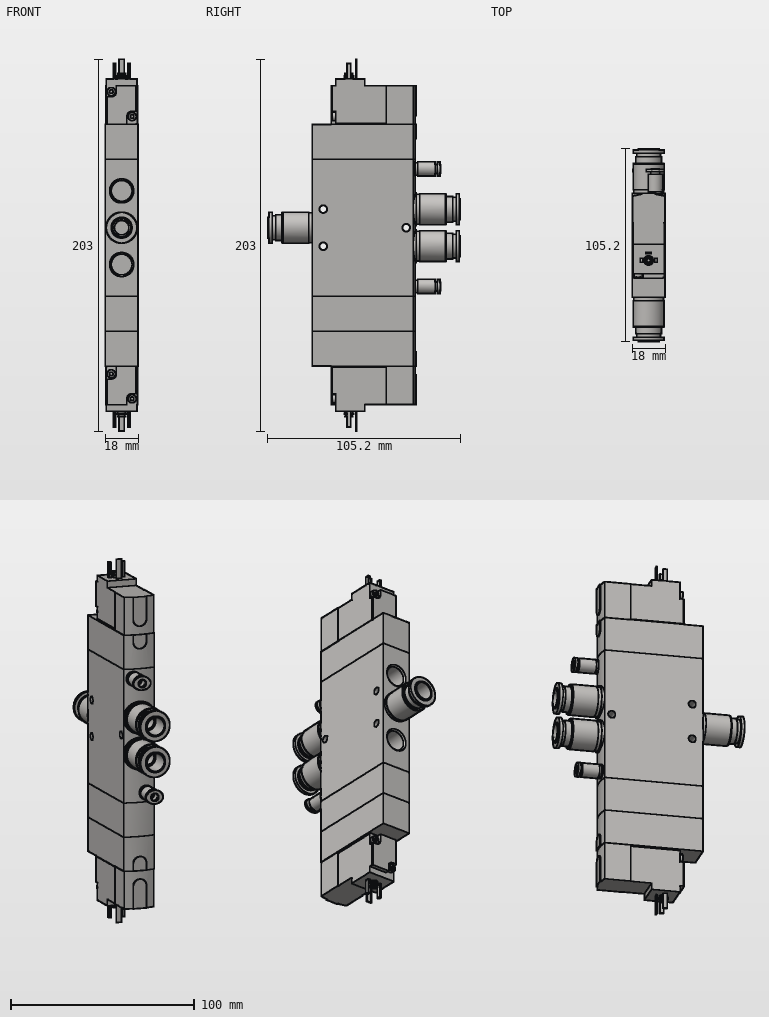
import cadquery as cq
import math

WIDTH = 18.0
SIDE_DEPTH = 55.2
CROWN_DEPTH = 56.5
SEAT_DEPTH = 56.8
SECTION_HEIGHT = 19.0
BAR_HALF = 66.0
VALVE_TOP = BAR_HALF - SECTION_HEIGHT
VALVE_BOTTOM = -BAR_HALF + 2 * SECTION_HEIGHT
VALVE_MID = (VALVE_TOP + VALVE_BOTTOM) / 2

FRONT_PORT_PITCH = 20.0
FRONT_PORT_DIAMETER = 11.4
FRONT_PORT_MOUTH = 13.2
FRONT_PORT_DEPTH = 16.2
CROSS_HOLE_DIAMETER = 4.0
CROSS_HOLE_PITCH = 20.3
FRONT_CROSS_HOLE_Y = 6.0
BACK_CROSS_HOLE_Y = 51.4

BACK_FITTING_PITCH = 20.0
SMALL_FITTING_X = 3.7
SMALL_FITTING_OFFSET = 32.0
SMALL_BOSS_DIAMETER = 8.0
SMALL_TUBE_DIAMETER = 4.0
RELEASE_RING_WIDTH = 10.0
RELEASE_RING_HEIGHT = 7.7
RELEASE_RING_START = 12.0
RELEASE_RING_THICKNESS = 1.5

PILOT_TOP = 87.0
OVERRIDE_WIDTH = 17.5
OVERRIDE_FRONT = 40.5
PAD_WIDTH = 7.7
OVERRIDE_PAD_HEIGHT = 16.5
CAP_PAD_HEIGHT = 8.0
COIL_WIDTH = 16.8
COIL_FRONT = 10.4
COIL_CHAMFER = 0.6
TAB_TOP = 90.7
TAB_FRONT = 12.8
TAB_BACK = 28.8

SCREW_PLACES = [(-5.7, 83.8), (5.7, 70.2)]
SCREW_RECESS_DIAMETER = 5.7
SCREW_HEAD_DIAMETER = 4.5
SCREW_HEAD_FRONT = 11.0
SCREW_SOCKET_DIAMETER = 2.0
SCREW_SOCKET_DEPTH = 1.2

PLUG_Y = 20.0
PIN_SPACING = 8.0
PIN_WIDTH = 1.2
PIN_THICKNESS = 2.2
PIN_TOP = 99.3
BLADE_Y = 24.2
BLADE_WIDTH = 3.0
BLADE_THICKNESS = 0.6
BLADE_TOP = 101.5
PLUG_HOLE_DIAMETER = 2.0


def box(x_size, y_range, z_range):
    """Box centred on X = 0 between the given Y and Z limits."""
    y_size = y_range[1] - y_range[0]
    z_size = z_range[1] - z_range[0]
    return (
        cq.Workplane("XY", origin=(0, y_range[0], z_range[0]))
        .box(x_size, y_size, z_size, centered=(True, False, False))
    )


def y_cylinder(diameter, x, z, y_range):
    """Cylinder along Y between the given limits."""
    length = y_range[1] - y_range[0]
    return (
        cq.Workplane("XZ", origin=(x, y_range[0], z))
        .circle(diameter / 2)
        .extrude(-length)
    )


def crowned_block(width, front, bottom, top):
    """Block whose back is a shallow arc across its width."""
    return (
        cq.Workplane("XY", origin=(0, 0, bottom))
        .moveTo(-width / 2, SIDE_DEPTH)
        .threePointArc((0, CROWN_DEPTH), (width / 2, SIDE_DEPTH))
        .lineTo(width / 2, front)
        .lineTo(-width / 2, front)
        .close()
        .extrude(top - bottom)
    )


def turned_part(profile):
    """Solid of revolution about Y from (radius, distance) points."""
    return cq.Workplane("XY").polyline(profile).close().revolve(360, (0, 0, 0), (0, 1, 0))


def back_fitting_places():
    """Z of the two large fittings on the back."""
    return [VALVE_MID + side * BACK_FITTING_PITCH / 2 for side in (1, -1)]


def small_fitting_places():
    """X and Z of the two small fittings on the back, diagonally opposite."""
    return [
        (side * SMALL_FITTING_X, VALVE_MID + side * SMALL_FITTING_OFFSET)
        for side in (1, -1)
    ]


def make_port():
    """Cutting shape of a blind front port with a countersunk mouth."""
    mouth_radius = FRONT_PORT_MOUTH / 2
    bore_radius = FRONT_PORT_DIAMETER / 2
    return turned_part([
        (0, 0), (mouth_radius, 0), (bore_radius, mouth_radius - bore_radius),
        (bore_radius, FRONT_PORT_DEPTH), (0, FRONT_PORT_DEPTH),
    ])


def make_valve_body():
    body = crowned_block(WIDTH, 0, VALVE_BOTTOM, VALVE_TOP)

    for z in back_fitting_places():
        body = body.union(y_cylinder(WIDTH, 0, z, (OVERRIDE_FRONT, SEAT_DEPTH)))
    for x, z in small_fitting_places():
        body = body.union(y_cylinder(SMALL_BOSS_DIAMETER, x, z, (OVERRIDE_FRONT, CROWN_DEPTH)))

    for side in (1, -1):
        body = body.cut(make_port().translate((0, 0, VALVE_MID + side * FRONT_PORT_PITCH)))

    cross_holes = (
        cq.Workplane("YZ", origin=(-WIDTH / 2, 0, VALVE_MID))
        .pushPoints([
            (BACK_CROSS_HOLE_Y, 0),
            (FRONT_CROSS_HOLE_Y, CROSS_HOLE_PITCH / 2),
            (FRONT_CROSS_HOLE_Y, -CROSS_HOLE_PITCH / 2),
        ])
        .circle(CROSS_HOLE_DIAMETER / 2)
        .extrude(WIDTH)
    )
    return body.cut(cross_holes)


def make_spacer():
    return crowned_block(WIDTH, 0, VALVE_BOTTOM - SECTION_HEIGHT, VALVE_BOTTOM)


def make_plug():
    """Stepped post with two flat pins beside it and a blade behind it."""
    steps = [(4.5, 0, 1.0), (5.0, 1.0, 1.6), (3.5, 1.6, 2.6), (4.5, 2.6, 3.0)]
    plug = box(BLADE_WIDTH, (BLADE_Y - BLADE_THICKNESS / 2, BLADE_Y + BLADE_THICKNESS / 2),
               (TAB_TOP, BLADE_TOP))
    for diameter, start, end in steps:
        step = (
            cq.Workplane("XY", origin=(0, PLUG_Y, TAB_TOP + start))
            .circle(diameter / 2)
            .circle(PLUG_HOLE_DIAMETER / 2)
            .extrude(end - start)
        )
        plug = plug.union(step)
    pin = box(PIN_WIDTH, (PLUG_Y - PIN_THICKNESS / 2, PLUG_Y + PIN_THICKNESS / 2),
              (TAB_TOP, PIN_TOP))
    for side in (1, -1):
        plug = plug.union(pin.translate((side * PIN_SPACING / 2, 0, 0)))
    return plug


def make_screw_recess(x, z):
    """Round-cornered recess that runs from a screw out to the nearest corner of the coil front."""
    radius = SCREW_RECESS_DIAMETER / 2
    coil_mid = (BAR_HALF + PILOT_TOP) / 2
    outward_x = math.copysign(radius, x)
    outward_z = math.copysign(radius, z - coil_mid)
    square = box(
        SCREW_RECESS_DIAMETER,
        (COIL_FRONT, TAB_FRONT),
        (z - radius, z + radius),
    ).translate((x, 0, 0))
    recess = y_cylinder(SCREW_RECESS_DIAMETER, x, z, (COIL_FRONT, TAB_FRONT))
    return (
        recess
        .union(square.translate((outward_x, 0, 0)))
        .union(square.translate((0, 0, outward_z)))
    )


def make_screw_head(x, z):
    socket_floor = SCREW_HEAD_FRONT + SCREW_SOCKET_DEPTH
    head = y_cylinder(SCREW_HEAD_DIAMETER, x, z, (SCREW_HEAD_FRONT, TAB_FRONT))
    return head.cut(y_cylinder(SCREW_SOCKET_DIAMETER, x, z, (SCREW_HEAD_FRONT, socket_floor)))


def make_coil():
    """Solenoid coil with its raised tab, recessed screws and plug."""
    coil = (
        box(COIL_WIDTH, (COIL_FRONT, OVERRIDE_FRONT), (BAR_HALF, PILOT_TOP))
        .edges("(<Y and |Z) or (<Z and |Y)")
        .chamfer(COIL_CHAMFER)
    )
    for x, z in SCREW_PLACES:
        coil = coil.cut(make_screw_recess(x, z)).union(make_screw_head(x, z))
    tab = box(COIL_WIDTH, (TAB_FRONT, TAB_BACK), (PILOT_TOP, TAB_TOP))
    return coil.union(tab).union(make_plug())


def make_back_pad(height, top):
    """Flat raised pad on the crown: straight sides, half-round lower end."""
    radius = PAD_WIDTH / 2
    round_mid = top - height + radius
    straight = box(PAD_WIDTH, (OVERRIDE_FRONT, SEAT_DEPTH), (round_mid, top))
    return straight.union(y_cylinder(PAD_WIDTH, 0, round_mid, (OVERRIDE_FRONT, SEAT_DEPTH)))


def make_end_cap():
    """Top end cap with its override block and coil."""
    cap = crowned_block(WIDTH, 0, VALVE_TOP, BAR_HALF)
    override_block = crowned_block(OVERRIDE_WIDTH, OVERRIDE_FRONT, BAR_HALF, PILOT_TOP)
    cap = cap.union(override_block).union(make_coil())

    cap = cap.union(make_back_pad(CAP_PAD_HEIGHT, BAR_HALF))
    cap = cap.union(make_back_pad(OVERRIDE_PAD_HEIGHT, PILOT_TOP))
    return cap


def make_large_fitting():
    """Push-in fitting along +Y, seated at Y = 0."""
    return turned_part([
        (3.95, 0), (8.22, 0), (8.22, 1.8), (8.5, 1.8), (8.5, 15.8), (8.22, 16.5), (7.1, 16.5),
        (7.1, 19.9), (6.6, 19.9), (6.6, 21.7), (8.5, 21.7), (8.5, 23.5), (5.7, 23.5),
        (5.7, 24.2), (4.97, 24.2), (4.97, 11.2), (3.95, 11.2),
    ])


def make_small_fitting():
    """Pilot push-in fitting along +Y, seated at Y = 0, with an oval release ring."""
    barrel = turned_part([
        (0, 0), (3.5, 0), (3.5, 1.2), (3.95, 1.2), (3.95, 10.8), (2.54, 10.8),
        (2.54, 13.4), (2.2, 13.4), (2.2, 13.8), (2.0, 13.8), (2.0, 7.1), (0, 7.1),
    ])
    release_ring = (
        cq.Workplane("XZ", origin=(0, RELEASE_RING_START, 0))
        .ellipse(RELEASE_RING_WIDTH / 2, RELEASE_RING_HEIGHT / 2)
        .circle(SMALL_TUBE_DIAMETER / 2)
        .extrude(-RELEASE_RING_THICKNESS)
    )
    return barrel.union(release_ring)


valve_body = make_valve_body()
spacer = make_spacer()
top_end_cap = make_end_cap()
bottom_end_cap = top_end_cap.rotate((0, 0, 0), (0, 1, 0), 180)

front_fitting = (
    make_large_fitting()
    .rotate((0, 0, 0), (0, 0, 1), 180)
    .translate((0, 0, VALVE_MID))
)
back_fittings = [
    make_large_fitting().translate((0, SEAT_DEPTH, z)) for z in back_fitting_places()
]
small_fittings = [
    make_small_fitting().translate((x, CROWN_DEPTH, z)) for x, z in small_fitting_places()
]

result = cq.Compound.makeCompound([
    valve_body.val(),
    spacer.val(),
    top_end_cap.val(),
    bottom_end_cap.val(),
    front_fitting.val(),
    *[fitting.val() for fitting in back_fittings],
    *[fitting.val() for fitting in small_fittings],
])